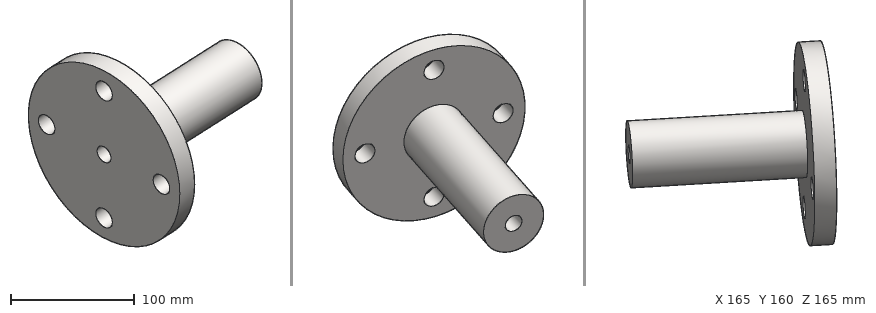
import cadquery as cq

flange_diameter = 165.0
flange_thickness = 18.0
overall_length = 160.0
shaft_diameter = 54.5
bore_diameter = 15.0
bolt_circle_diameter = 125.0
bolt_hole_diameter = 18.0
bolt_hole_count = 4

flange = cq.Workplane("XZ").circle(flange_diameter / 2).extrude(-flange_thickness)

shaft = cq.Workplane("XZ").circle(shaft_diameter / 2).extrude(-overall_length)

bore = cq.Workplane("XZ").circle(bore_diameter / 2).extrude(-overall_length)

bolt_holes = (
    cq.Workplane("XZ")
    .polarArray(bolt_circle_diameter / 2, 0, 360, bolt_hole_count)
    .circle(bolt_hole_diameter / 2)
    .extrude(-flange_thickness)
)

result = flange.union(shaft).cut(bore).cut(bolt_holes)